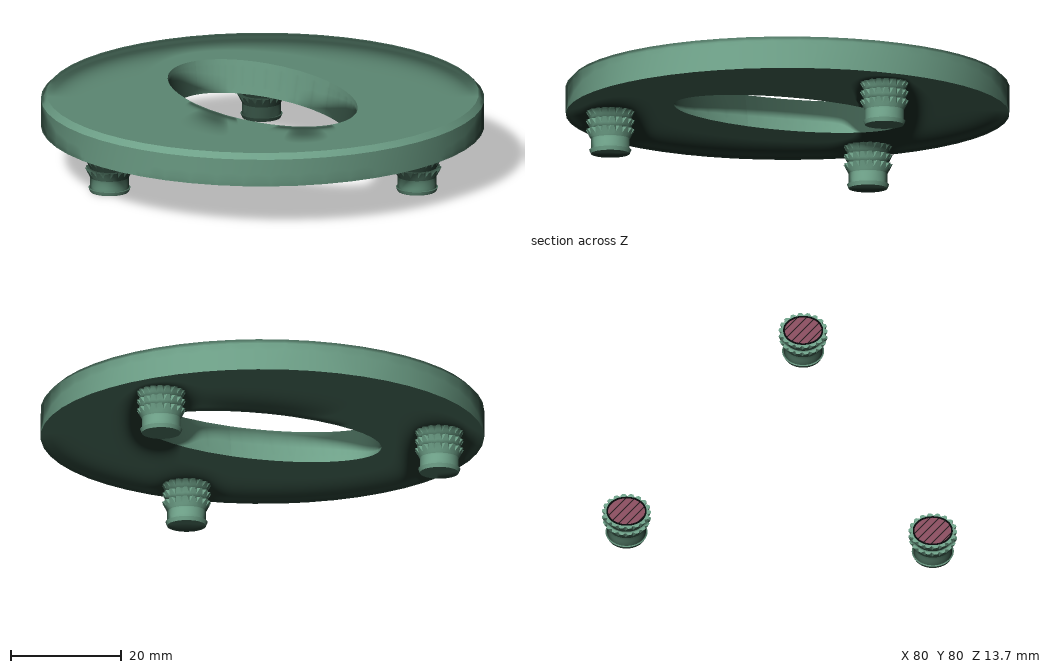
import cadquery as cq
import math

DISC_DIAMETER = 80.0
DISC_THICKNESS = 6.0
DISC_CHAMFER = 1.0

OPENING_LENGTH = 48.0
OPENING_WIDTH = 28.0
OPENING_DRAFT = 10.0

PIN_COUNT = 3
PIN_CIRCLE_RADIUS = 32.0
FIRST_PIN_ANGLE = -90.0
PIN_LENGTH = 7.7
PIN_DIAMETER = 7.0

LIP_DIAMETER = 7.6
LIP_HEIGHT = 0.7

CONE_COUNT = 3
CONE_STACK_LENGTH = 5.0
CONE_HEIGHT = CONE_STACK_LENGTH / CONE_COUNT
CONE_TOP_DIAMETER = 8.8
CONE_BOTTOM_DIAMETER = PIN_DIAMETER
TEETH_PER_CONE = 18
FIRST_TOOTH_ANGLE = 2.5
STAR_ROOT_DIAMETER = 7.7
STAR_TIP_DIAMETER = 9.6


def make_disc():
    disc = cq.Workplane("XY").circle(DISC_DIAMETER / 2).extrude(DISC_THICKNESS)
    return disc.faces(">Z").edges().chamfer(DISC_CHAMFER)


def make_opening():
    return (
        cq.Workplane("XY", origin=(0, 0, DISC_THICKNESS))
        .ellipse(OPENING_LENGTH / 2, OPENING_WIDTH / 2)
        .extrude(-DISC_THICKNESS, taper=OPENING_DRAFT)
    )


def make_shank():
    """Plain cylinder with a lip at its free end that tapers back to the shank diameter."""
    lip_top = LIP_HEIGHT - PIN_LENGTH
    shank = cq.Workplane("XY").circle(PIN_DIAMETER / 2).extrude(-PIN_LENGTH)
    lip = cq.Solid.makeCone(
        PIN_DIAMETER / 2, LIP_DIAMETER / 2, LIP_HEIGHT, pnt=cq.Vector(0, 0, -PIN_LENGTH)
    )
    return shank.union(cq.Workplane("XY").newObject([lip]))


def make_toothed_cone():
    """Cone narrowing downward from Z = 0, with vertical V notches that leave a ring of teeth."""
    half_step = math.pi / TEETH_PER_CONE
    outline = []
    for index in range(2 * TEETH_PER_CONE):
        diameter = STAR_ROOT_DIAMETER if index % 2 else STAR_TIP_DIAMETER
        angle = math.radians(FIRST_TOOTH_ANGLE) + index * half_step
        outline.append((diameter / 2 * math.cos(angle), diameter / 2 * math.sin(angle)))
    star = cq.Workplane("XY").polyline(outline).close().extrude(-CONE_HEIGHT)
    cone = cq.Solid.makeCone(
        CONE_BOTTOM_DIAMETER / 2, CONE_TOP_DIAMETER / 2, CONE_HEIGHT, pnt=cq.Vector(0, 0, -CONE_HEIGHT)
    )
    return star.intersect(cq.Workplane("XY").newObject([cone]))


def make_pin():
    pin = make_shank()
    toothed_cone = make_toothed_cone()
    for index in range(CONE_COUNT):
        pin = pin.union(toothed_cone.translate((0, 0, -index * CONE_HEIGHT)))
    return pin.val()


def place_pins(pin):
    pins = []
    for index in range(PIN_COUNT):
        angle = math.radians(FIRST_PIN_ANGLE + index * 360 / PIN_COUNT)
        x = PIN_CIRCLE_RADIUS * math.cos(angle)
        y = PIN_CIRCLE_RADIUS * math.sin(angle)
        pins.append(pin.translate(cq.Vector(x, y, 0)))
    return pins


plate = make_disc().cut(make_opening())
result = cq.Workplane("XY").newObject([plate.val().fuse(*place_pins(make_pin()))])